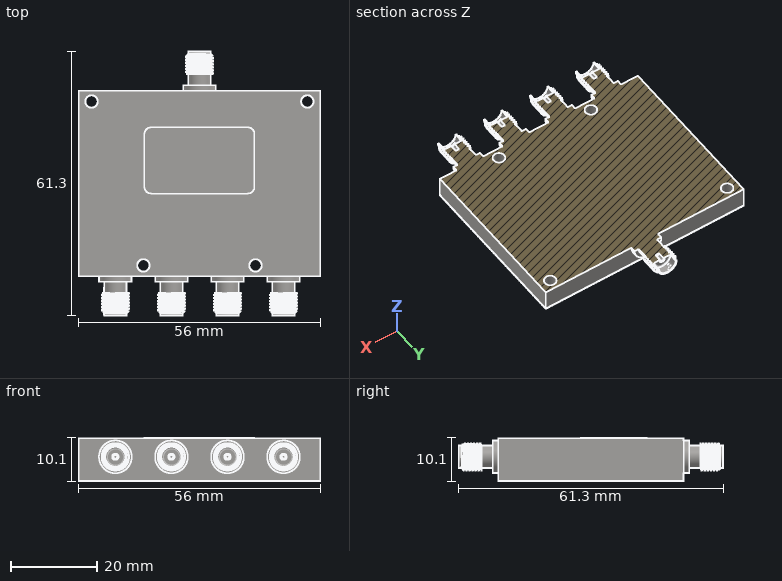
import cadquery as cq

body_width = 56.0
body_depth = 43.0
body_height = 10.0

pad_width = 25.5
pad_depth = 15.3
pad_offset_y = 5.35
pad_height = 0.05
pad_corner_radius = 1.55

hole_diameter = 2.8
hole_edge_distance = 2.5
rear_hole_spacing = 50.0
front_hole_spacing = 26.0

total_depth = 61.3
connector_length = (total_depth - body_depth) / 2
output_count = 4
output_pitch = 13.0
connector_axis_z = 5.65

flange_radius = 3.8
flange_thickness = 1.3
neck_radius = 2.65
neck_length = 2.5

thread_radius = 3.2
thread_pitch = 0.705
thread_turns = 8
thread_first_crest = 0.2
thread_taper_start = 1.2
thread_taper_end = 0.6
envelope_clearance = 0.1
ridge_root_width = 0.6
ridge_crest_width = 0.1
ridge_root_sink = 0.05

bore_radius = 2.3
bore_depth = 2.15
seat_radius = 1.9
seat_depth = 0.1
contact_radius = 0.75
contact_height = 0.2
contact_hole_radius = 0.4
contact_hole_depth = 1.85


def make_housing():
    block = cq.Workplane("XY").box(
        body_width, body_depth, body_height, centered=(True, True, False)
    )
    pad = (
        cq.Workplane("XY", origin=(0, pad_offset_y, body_height))
        .rect(pad_width, pad_depth)
        .extrude(pad_height)
        .edges("|Z")
        .fillet(pad_corner_radius)
    )
    return block.union(pad)


def make_mounting_holes():
    hole_y = body_depth / 2 - hole_edge_distance
    centres = []
    for y, spacing in ((hole_y, rear_hole_spacing), (-hole_y, front_hole_spacing)):
        centres += [(-spacing / 2, y), (spacing / 2, y)]
    return cq.Workplane("XY").pushPoints(centres).circle(hole_diameter / 2).extrude(body_height)


def revolve_section(points):
    """Solid turned around Z from (radius, height) points."""
    return cq.Workplane("XZ").polyline(points).close().revolve(360, (0, 0, 0), (0, 1, 0))


def make_thread():
    """Helical ridge around Z between the neck and the open end of the socket."""
    thread_start = flange_thickness + neck_length
    helix_start = thread_start + thread_first_crest - thread_pitch
    sunk_radius = neck_radius - ridge_root_sink
    path = cq.Wire.makeHelix(thread_pitch, thread_pitch * thread_turns, sunk_radius)
    ridge_profile = [
        (sunk_radius, -ridge_root_width / 2),
        (thread_radius, -ridge_crest_width / 2),
        (thread_radius, ridge_crest_width / 2),
        (sunk_radius, ridge_root_width / 2),
    ]
    ridge = cq.Workplane("XZ").polyline(ridge_profile).close().sweep(path, isFrenet=True)

    envelope_radius = thread_radius + envelope_clearance
    envelope_section = [
        (0, thread_start),
        (envelope_radius, thread_start),
        (envelope_radius, connector_length - thread_taper_start),
        (neck_radius, connector_length - thread_taper_end),
        (0, connector_length - thread_taper_end),
    ]
    return ridge.translate((0, 0, helix_start)).intersect(revolve_section(envelope_section))


def make_barrel():
    """Flange, neck and hollow socket as one turned shape around Z."""
    bore_end = connector_length - bore_depth
    seat_end = bore_end - seat_depth
    half_section = [
        (0, 0),
        (flange_radius, 0),
        (flange_radius, flange_thickness),
        (neck_radius, flange_thickness),
        (neck_radius, connector_length),
        (bore_radius, connector_length),
        (bore_radius, bore_end),
        (seat_radius, seat_end),
        (contact_radius, seat_end),
        (contact_radius, seat_end + contact_height),
        (contact_hole_radius, seat_end + contact_height),
        (contact_hole_radius, seat_end - contact_hole_depth),
        (0, seat_end - contact_hole_depth),
    ]
    return revolve_section(half_section)


def make_connector():
    """Threaded socket along +Z with its flange seated at Z = 0."""
    return make_barrel().union(make_thread())


connector = make_connector()
front_connector = connector.rotate((0, 0, 0), (1, 0, 0), 90)
rear_connector = connector.rotate((0, 0, 0), (1, 0, 0), -90)

result = make_housing().cut(make_mounting_holes())
for index in range(output_count):
    output_x = (index - (output_count - 1) / 2) * output_pitch
    result = result.union(front_connector.translate((output_x, -body_depth / 2, connector_axis_z)))
result = result.union(rear_connector.translate((0, body_depth / 2, connector_axis_z)))